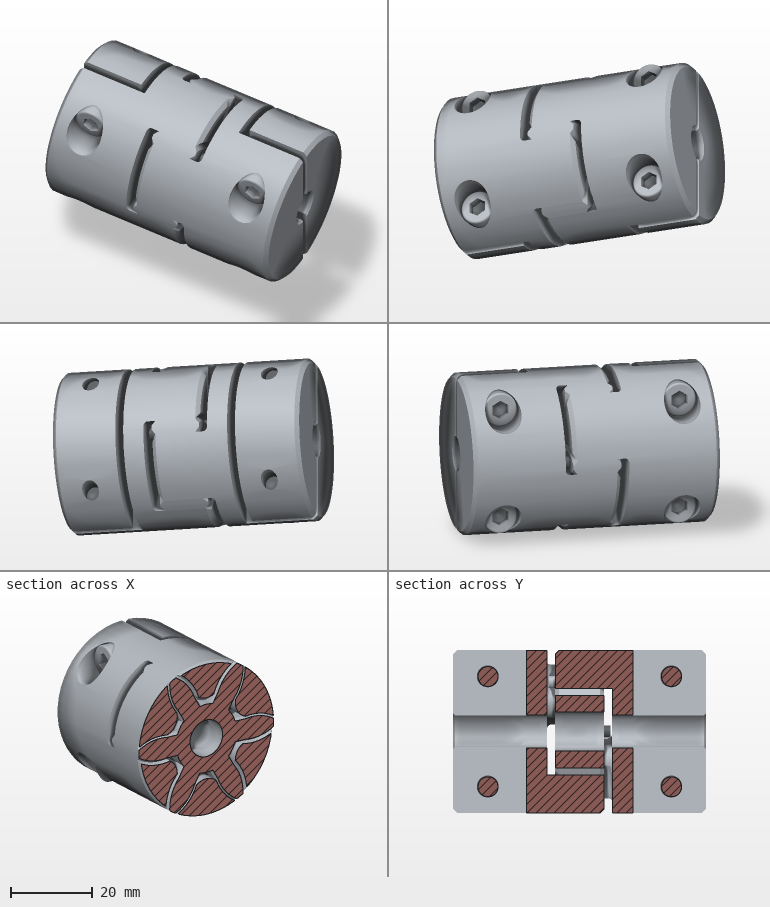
import cadquery as cq
import math


length = 62.0
outer_diameter = 40.0
bore_diameter = 8.0
end_chamfer = 1.0
bore_chamfer = 0.5

jaws_per_hub = 3
hub_face_x = 8.0
jaw_tip_x = 6.0
jaw_nose_reach = 10.55
jaw_nose_width = 5.95
jaw_nose_height = 1.1
jaw_flank_hollow = 0.75
jaw_root_fillet = 1.0
jaw_tip_chamfer = 1.0
flank_overrun = 1.85

spider_ring_diameter = 18.0
spider_bore_diameter = 9.5
arm_rim_width = 3.35
arm_chamfer = 1.0
knob_diameter = 3.0
knob_height = 1.55
knob_circle_radius = 14.0

slit_width = 2.0
cross_slit_start_x = 13.1

screw_x = 22.5
screw_z = 13.5
screw_diameter = 5.0
screw_length = 16.0
head_diameter = 8.5
head_fillet = 0.5
head_top_y = -11.4
socket_width = 4.0
socket_depth = 2.5
socket_cone_depth = 1.1
counterbore_diameter = 9.0
clearance_diameter = 5.4
thread_hole_diameter = 4.15

outer_radius = outer_diameter / 2
half_length = length / 2
jaw_pitch = 360 / jaws_per_hub
arm_pitch = jaw_pitch / 2
head_seat_y = head_top_y + screw_diameter
screw_tip_y = head_seat_y + screw_length


def cylinder_x(diameter, x_start, x_end):
    return cq.Workplane("YZ", origin=(x_start, 0, 0)).circle(diameter / 2).extrude(x_end - x_start)


def cylinder_y(diameter, y_start, y_end):
    """Cylinder along Y on a clamp screw's axis in the -X hub, at +Z."""
    plane = cq.Plane(origin=(-screw_x, y_start, screw_z), xDir=(1, 0, 0), normal=(0, 1, 0))
    return cq.Workplane(plane).circle(diameter / 2).extrude(y_end - y_start)


def box_between(x_range, y_range, z_range):
    sizes = [end - start for start, end in (x_range, y_range, z_range)]
    return cq.Workplane("XY").box(*sizes, centered=False).translate((x_range[0], y_range[0], z_range[0]))


def turn_x(shape, angle):
    return shape.rotate((0, 0, 0), (1, 0, 0), angle)


def turn_y_half(shape):
    return shape.rotate((0, 0, 0), (0, 1, 0), 180)


arm_angle = math.radians(90 - arm_pitch / 2)
arm_rim_reach = math.sqrt(outer_radius**2 - (arm_rim_width / 2) ** 2)
rim_y = arm_rim_reach * math.cos(arm_angle) - arm_rim_width / 2 * math.sin(arm_angle)
rim_z = arm_rim_reach * math.sin(arm_angle) + arm_rim_width / 2 * math.cos(arm_angle)
nose_y = jaw_nose_width / 2
nose_z = jaw_nose_reach + jaw_nose_height
flank_chord = math.hypot(rim_y - nose_y, rim_z - nose_z)
flank_angle = math.atan2(rim_z - nose_z, rim_y - nose_y)


def flank_point(along, away=0.0):
    """Point (y, z) at a distance along the flank's chord from its middle, and away from the jaw."""
    y = (nose_y + rim_y) / 2 + along * math.cos(flank_angle) + away * math.sin(flank_angle)
    z = (nose_z + rim_z) / 2 + along * math.sin(flank_angle) - away * math.cos(flank_angle)
    return y, z


flank_middle = flank_point(0, -jaw_flank_hollow)
flank_radius = (flank_chord**2 / 4 + jaw_flank_hollow**2) / (2 * jaw_flank_hollow)


def along_arm(y, z):
    """Reach along the arm beside the flank and half width across it, for a point on the flank."""
    reach = y * math.cos(arm_angle) + z * math.sin(arm_angle)
    half_width = z * math.cos(arm_angle) - y * math.sin(arm_angle)
    return reach, half_width


def make_flank_cutter():
    """Block that hollows the +Y flank of a jaw; its rounded edge leaves the fillet at the jaw's root."""
    half_cut = flank_chord / 2 + flank_overrun
    cut_depth = flank_radius - jaw_flank_hollow - math.sqrt(flank_radius**2 - half_cut**2)
    block = (
        cq.Workplane("YZ", origin=(-hub_face_x, 0, 0))
        .moveTo(*flank_point(-half_cut, cut_depth))
        .threePointArc(flank_middle, flank_point(half_cut, cut_depth))
        .lineTo(*flank_point(half_cut, flank_chord))
        .lineTo(*flank_point(-half_cut, flank_chord))
        .close()
        .extrude(hub_face_x + jaw_tip_x)
    )
    flank_edge = cq.selectors.NearestToPointSelector((-hub_face_x, *flank_middle))
    return block.edges(flank_edge).fillet(jaw_root_fillet)


def make_jaw():
    """Jaw of the -X hub pointing to +Z, left overlong so that it can be trimmed to the outer diameter."""
    nose_radius = (nose_y**2 + jaw_nose_height**2) / (2 * jaw_nose_height)
    blank_y = nose_y + jaw_root_fillet * math.sin(flank_angle)
    blank_z = jaw_nose_reach + nose_radius - math.sqrt(nose_radius**2 - blank_y**2)
    blank = (
        cq.Workplane("YZ", origin=(-hub_face_x, 0, 0))
        .moveTo(-blank_y, blank_z)
        .threePointArc((0, jaw_nose_reach), (blank_y, blank_z))
        .lineTo(outer_radius * math.cos(arm_angle), outer_radius * math.sin(arm_angle))
        .lineTo(outer_radius * math.cos(arm_angle), outer_radius + flank_overrun)
        .lineTo(-outer_radius * math.cos(arm_angle), outer_radius + flank_overrun)
        .lineTo(-outer_radius * math.cos(arm_angle), outer_radius * math.sin(arm_angle))
        .close()
        .extrude(hub_face_x + jaw_tip_x)
    )
    cutter = make_flank_cutter()
    jaw = blank.cut(cutter).cut(cutter.mirror("XZ"))
    return jaw.faces(">X").edges("not(<Z or >Z)").chamfer(jaw_tip_chamfer)


def make_jawed_hub():
    """Plain hub at the -X end with its jaws."""
    hub = cylinder_x(outer_diameter, -half_length, -hub_face_x)
    jaw = make_jaw()
    for index in range(jaws_per_hub):
        hub = hub.union(turn_x(jaw, index * jaw_pitch))
    envelope = cylinder_x(outer_diameter, -half_length, jaw_tip_x)
    envelope = envelope.faces("<X").edges().chamfer(end_chamfer)
    envelope = envelope.faces(">X").edges().chamfer(jaw_tip_chamfer)
    hub = hub.intersect(envelope)
    bore = cylinder_x(bore_diameter, -half_length, 0)
    bore_rim = (
        cq.Workplane("YZ", origin=(-half_length, 0, 0))
        .circle(bore_diameter / 2 + bore_chamfer)
        .workplane(offset=bore_chamfer)
        .circle(bore_diameter / 2)
        .loft()
    )
    return hub.cut(bore).cut(bore_rim)


def make_slits():
    """Slit through the axis, and a cross slit that frees the +Y half as a clamp cap."""
    half_slit = slit_width / 2
    across = (-outer_radius, outer_radius)
    axial = box_between((-half_length, -cross_slit_start_x), (-half_slit, half_slit), across)
    cross_x = (-cross_slit_start_x - slit_width, -cross_slit_start_x)
    return axial.union(box_between(cross_x, (-half_slit, outer_radius), across))


def make_screw_hole():
    counterbore = cylinder_y(counterbore_diameter, -outer_radius, head_seat_y)
    clearance = cylinder_y(clearance_diameter, head_seat_y, 0)
    thread = cylinder_y(thread_hole_diameter, 0, outer_radius)
    return counterbore.union(clearance).union(thread)


def make_screw():
    head = cylinder_y(head_diameter, head_top_y, head_seat_y).faces("<Y").edges().fillet(head_fillet)
    socket_plane = cq.Plane(origin=(-screw_x, head_top_y, screw_z), xDir=(0, 0, 1), normal=(0, 1, 0))
    socket_corners = socket_width / math.cos(math.pi / 6)
    socket = cq.Workplane(socket_plane).polygon(6, socket_corners).extrude(socket_depth)
    cone = cq.Solid.makeCone(
        socket_width / 2, 0, socket_cone_depth,
        cq.Vector(-screw_x, head_top_y + socket_depth, screw_z), cq.Vector(0, 1, 0),
    )
    shank = cylinder_y(screw_diameter, head_seat_y, screw_tip_y)
    return head.cut(socket).cut(cq.Workplane(cone)).union(shank)


def make_hub():
    """Complete -X hub with slits and both clamp screws."""
    hub = make_jawed_hub().cut(make_slits())
    hole = make_screw_hole()
    screw = make_screw()
    for mirror in (False, True):
        placed_hole = hole.mirror("XY") if mirror else hole
        placed_screw = screw.mirror("XY") if mirror else screw
        hub = hub.cut(placed_hole).union(placed_screw)
    return hub


def make_arm():
    """Spider arm pointing to +Y; its bulging sides lie on the flanks of the two jaws beside it."""
    rim = along_arm(rim_y, rim_z)
    middle = along_arm(*flank_middle)
    shoulder = along_arm(nose_y, nose_z)
    root_reach = spider_bore_diameter / 2
    arm = (
        cq.Workplane("YZ", origin=(-jaw_tip_x, 0, 0))
        .moveTo(root_reach, -shoulder[1])
        .lineTo(shoulder[0], -shoulder[1])
        .threePointArc((middle[0], -middle[1]), (rim[0], -rim[1]))
        .threePointArc((outer_radius, 0), rim)
        .threePointArc(middle, shoulder)
        .lineTo(root_reach, shoulder[1])
        .close()
        .extrude(2 * jaw_tip_x)
    )
    side_edges = arm.faces("<X or >X").edges().filter(
        lambda edge: abs(edge.Center().z) > rim[1]
    )
    return side_edges.chamfer(arm_chamfer)


def make_spider():
    spider = cylinder_x(spider_ring_diameter, -jaw_tip_x, jaw_tip_x)
    arm = make_arm()
    left_knob = cylinder_x(knob_diameter, -jaw_tip_x - knob_height, -jaw_tip_x).translate(
        (0, -knob_circle_radius, 0)
    )
    right_knob = turn_x(left_knob.mirror("YZ"), 180)
    for index in range(2 * jaws_per_hub):
        spider = spider.union(turn_x(arm, index * arm_pitch))
    for index in range(jaws_per_hub):
        spider = spider.union(turn_x(left_knob, index * jaw_pitch))
        spider = spider.union(turn_x(right_knob, index * jaw_pitch))
    return spider.cut(cylinder_x(spider_bore_diameter, -jaw_tip_x, jaw_tip_x))


left_hub = make_hub()
right_hub = turn_y_half(left_hub)
result = left_hub.union(right_hub).union(make_spider())